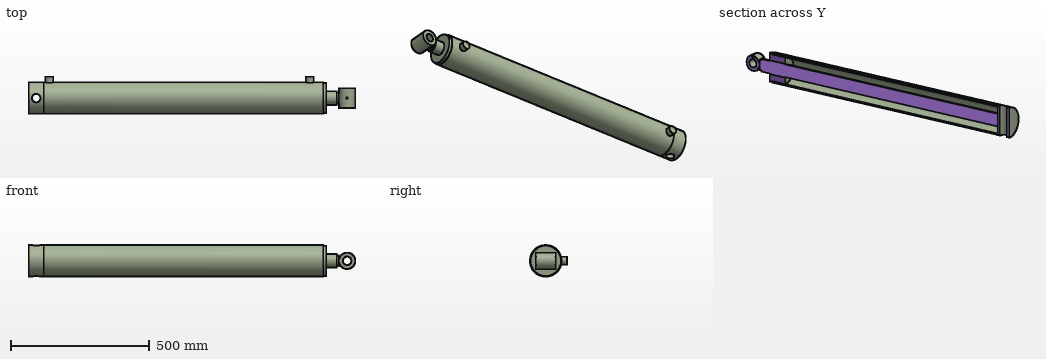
import cadquery as cq

overall_length = 1183.0
barrel_diameter = 115.0
barrel_bore = 100.0

base_length = 54.0
pin_hole_diameter = 30.0
pin_hole_x = 27.5

barrel_end_x = 1066.0
gland_end_x = 1078.0
gland_lip_diameter = 110.0
gland_insert_depth = 60.0

rod_diameter = 50.0
rod_shoulder_x = 1116.0
rod_neck_diameter = 40.0

eye_diameter = 60.0
eye_bore = 30.0
eye_width = 72.0
grease_hole_diameter = 6.0
eye_x = overall_length - eye_diameter / 2

port_diameter = 30.0
port_height = 20.0
port_positions_x = (75.0, 1018.0)


def rod_along_x(diameter, start_x, end_x):
    """Solid cylinder on the X axis between two stations."""
    return cq.Workplane("YZ", origin=(start_x, 0, 0)).circle(diameter / 2).extrude(end_x - start_x)


def cylinder_along_y(diameter, width, x):
    """Solid cylinder parallel to Y, centred on the cylinder axis."""
    return cq.Workplane("XZ", origin=(x, 0, 0)).circle(diameter / 2).extrude(width / 2, both=True)


def make_base_cap():
    """Solid base end with a cross hole for the mounting pin."""
    pin_hole = cq.Workplane("XY", origin=(pin_hole_x, 0, 0)).circle(pin_hole_diameter / 2)
    pin_hole = pin_hole.extrude(barrel_diameter, both=True)
    return rod_along_x(barrel_diameter, 0, base_length).cut(pin_hole)


def make_barrel():
    """Plain tube between the base cap and the gland lip."""
    outside = rod_along_x(barrel_diameter, base_length, barrel_end_x)
    return outside.cut(rod_along_x(barrel_bore, base_length, barrel_end_x))


def make_gland():
    """Rod guide: a slightly smaller lip against the barrel end and a spigot filling the bore."""
    lip = rod_along_x(gland_lip_diameter, barrel_end_x, gland_end_x)
    spigot = rod_along_x(barrel_bore, barrel_end_x - gland_insert_depth, barrel_end_x)
    return lip.union(spigot).cut(rod_along_x(rod_diameter, base_length, gland_end_x))


def make_rod():
    """Piston rod with a short reduced neck whose flat end meets the round eye."""
    shaft = rod_along_x(rod_diameter, base_length, rod_shoulder_x)
    neck = rod_along_x(rod_neck_diameter, rod_shoulder_x, eye_x - eye_diameter / 2)
    return shaft.union(neck)


def make_eye():
    """Cross tube on the rod end, with a grease hole from the top into its bore."""
    eye = cylinder_along_y(eye_diameter, eye_width, eye_x)
    eye = eye.cut(cylinder_along_y(eye_bore, eye_width, eye_x))
    grease_hole = cq.Workplane("XY", origin=(eye_x, 0, 0)).circle(grease_hole_diameter / 2)
    return eye.cut(grease_hole.extrude(eye_diameter))


def make_port(x):
    """Round port boss, its foot shaped to the outside of the barrel."""
    boss = cq.Workplane("XZ", origin=(x, 0, 0)).circle(port_diameter / 2)
    boss = boss.extrude(-(barrel_diameter / 2 + port_height))
    return boss.cut(rod_along_x(barrel_diameter, 0, overall_length))


base_cap = make_base_cap()
barrel = make_barrel()
gland = make_gland()
rod = make_rod()
eye = make_eye()
ports = [make_port(x).val() for x in port_positions_x]

result = cq.Compound.makeCompound([
    base_cap.val(),
    barrel.val(),
    gland.val(),
    rod.val(),
    eye.val(),
    *ports,
])